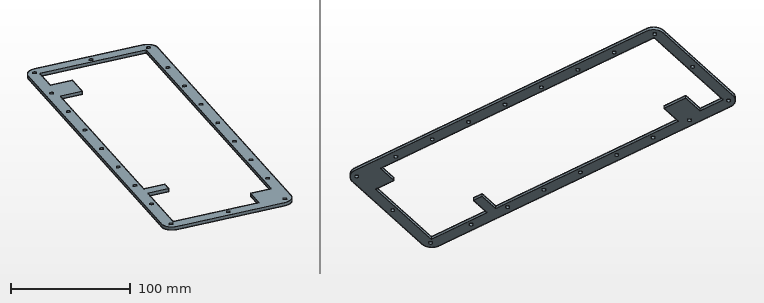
import cadquery as cq

length = 326.0
width = 116.3
thickness = 3.0
tilt_angle = 3.0
corner_radius = 10.0
side_rail = 10.0
long_rail = 10.5
window_length = length - 2 * side_rail
window_width = width - 2 * long_rail

hole_diameter = 3.3
row_pitch = 38.0
row_count = 7
row_y = 52.0
corner_hole_x = 156.0
corner_hole_y = 51.0
side_hole_x = 157.0

wide_tab_left = -128.7
wide_tab_width = 22.8
wide_tab_reach = 20.0
narrow_tab_left = 85.5
narrow_tab_width = 9.0
narrow_tab_reach = 19.0
corner_pad_length = 19.2
corner_pad_width = 18.5


def block(left, bottom, size_x, size_y):
    """Plate-thick rectangle placed by its lower left corner."""
    return cq.Workplane("XY").box(size_x, size_y, thickness, centered=False).translate((left, bottom, 0))


def make_frame():
    """Rounded plate with a sharp-cornered rectangular window."""
    plate = cq.Workplane("XY").rect(length, width).extrude(thickness)
    plate = plate.edges("|Z").fillet(corner_radius)
    window = block(-window_length / 2, -window_width / 2, window_length, window_width)
    return plate.cut(window)


def add_tabs(frame):
    """Add two tabs on the front rail and a pad in the back right corner, each rooted in the rails."""
    root_y = -width / 2 + long_rail / 2
    root_depth = long_rail / 2
    wide_tab = block(wide_tab_left, root_y, wide_tab_width, root_depth + wide_tab_reach)
    narrow_tab = block(narrow_tab_left, root_y, narrow_tab_width, root_depth + narrow_tab_reach)
    corner_pad = block(
        window_length / 2 - corner_pad_length,
        window_width / 2 - corner_pad_width,
        corner_pad_length + side_rail / 2,
        corner_pad_width + long_rail / 2,
    )
    return frame.union(wide_tab).union(narrow_tab).union(corner_pad)


def hole_centers():
    """Long-rail rows, corner holes and one hole midway along each side rail."""
    centers = [(-side_hole_x, 0), (side_hole_x, 0)]
    for side in (-1, 1):
        for index in range(row_count):
            centers.append(((index - (row_count - 1) / 2) * row_pitch, side * row_y))
        centers.append((-corner_hole_x, side * corner_hole_y))
        centers.append((corner_hole_x, side * corner_hole_y))
    return centers


holes = cq.Workplane("XY").pushPoints(hole_centers()).circle(hole_diameter / 2).extrude(thickness)
flat_part = add_tabs(make_frame()).cut(holes)

result = flat_part.rotate((0, 0, 0), (1, 0, 0), tilt_angle)